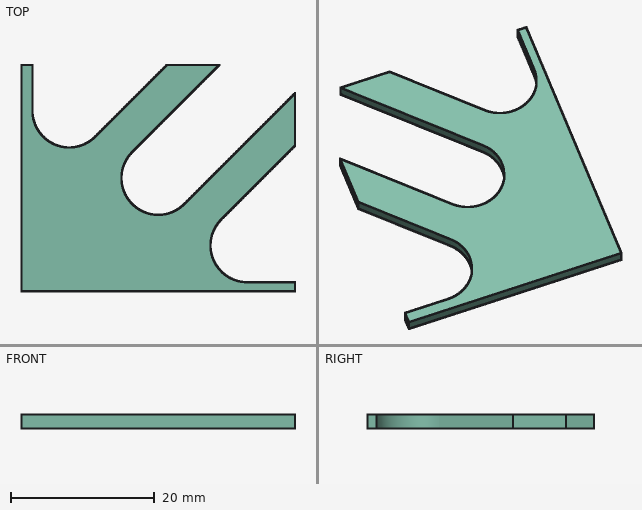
import cadquery as cq
import math

length = 38.1
width = 31.5
thickness = 2.0

cut_radius = 5.1
pitch_x = 12.4
pitch_y = 9.37
slot_angle = 45.0
reach = length + width

middle = (length / 2, width / 2)
upper_left = (middle[0] - pitch_x, middle[1] + pitch_y)
lower_right = (middle[0] + pitch_x, middle[1] - pitch_y)


def slot(center, angle):
    """Open slot with a round end at center, running outward at angle."""
    end = cq.Workplane("XY").circle(cut_radius).extrude(thickness)
    channel = cq.Workplane("XY").rect(reach, 2 * cut_radius).extrude(thickness)
    channel = channel.translate((reach / 2, 0, 0))
    turned = end.union(channel).rotate((0, 0, 0), (0, 0, 1), angle)
    return turned.translate((center[0], center[1], 0))


def wedge(center, start_angle, end_angle):
    """Area between two outward rays whose sides are tangent to the round end."""
    start = math.radians(start_angle)
    end = math.radians(end_angle)
    fan = (
        cq.Workplane("XY")
        .moveTo(*center)
        .lineTo(center[0] + reach * math.cos(start), center[1] + reach * math.sin(start))
        .lineTo(center[0] + reach * math.cos(end), center[1] + reach * math.sin(end))
        .close()
        .extrude(thickness)
    )
    return fan.union(slot(center, start_angle)).union(slot(center, end_angle))


plate = cq.Workplane("XY").box(length, width, thickness, centered=False)

result = (
    plate
    .cut(slot(middle, slot_angle))
    .cut(wedge(upper_left, slot_angle, 90.0))
    .cut(wedge(lower_right, 0.0, slot_angle))
)